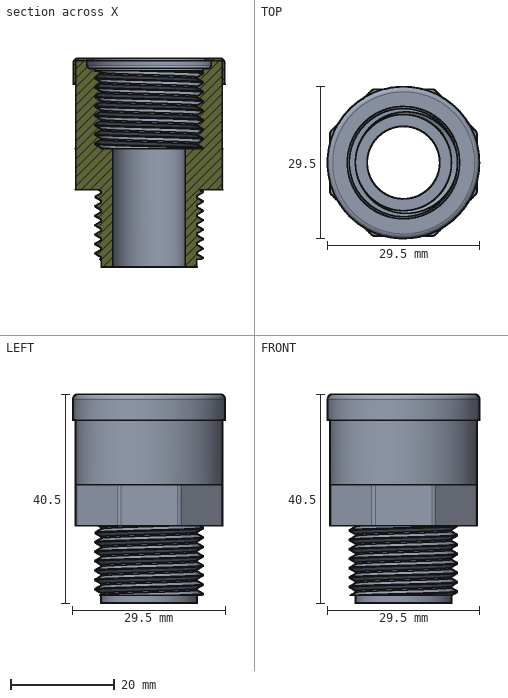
import cadquery as cq
import math

overall_height = 40.5
thread_start_level = 1.5
wrench_bottom_level = 15.0
wrench_top_level = 22.95
collar_bottom_level = 35.45
seat_level = 38.5
thread_mouth_level = 38.03
socket_floor_level = wrench_top_level

collar_diameter = 29.5
collar_rounding = 0.97
barrel_diameter = 28.5
lip_diameter = 21.8
seat_diameter = 24.0
seat_fillet = 0.6
clearance_diameter = 20.98
bore_diameter = 14.0
collar_thickness = (collar_diameter - barrel_diameter) / 2
barrel_top_level = overall_height - collar_thickness

wrench_sides = 8
wrench_corner_radius = 1.0

thread_minor_diameter = 18.65
thread_major_diameter = 20.95
thread_pitch = 1.82
thread_tip_width = 0.15
flank_angle = 30.0
thread_overlap = 0.12


def cylinder(diameter, bottom, top):
    """Upright cylinder on the Z axis between two levels."""
    return cq.Workplane("XY").workplane(offset=bottom).circle(diameter / 2).extrude(top - bottom)


def thread_ridge(bottom, top):
    """Right-handed ridge between two levels; its tip reaches the top level on the +X side."""
    inner_radius = thread_minor_diameter / 2 - thread_overlap
    outer_radius = thread_major_diameter / 2
    half_tip = thread_tip_width / 2
    half_base = half_tip + (outer_radius - inner_radius) * math.tan(math.radians(flank_angle))

    turns_below_top = math.ceil((top - bottom) / thread_pitch) + 1
    turns_above_top = 1
    first_level = top - turns_below_top * thread_pitch
    length = (turns_below_top + turns_above_top) * thread_pitch
    helix = cq.Wire.makeHelix(thread_pitch, length, inner_radius, cq.Vector(0, 0, first_level))
    ridge = (
        cq.Workplane("XZ")
        .moveTo(inner_radius, first_level - half_base)
        .lineTo(outer_radius, first_level - half_tip)
        .lineTo(outer_radius, first_level + half_tip)
        .lineTo(inner_radius, first_level + half_base)
        .close()
        .sweep(cq.Workplane(helix), isFrenet=True)
    )
    return ridge.intersect(cylinder(collar_diameter, bottom, top))


def make_outer_form():
    """Nose, wrench octagon and barrel, all still solid inside."""
    nose = cylinder(thread_minor_diameter, 0, wrench_bottom_level)
    corner_diameter = barrel_diameter / math.cos(math.pi / wrench_sides)
    wrench = (
        cq.Workplane("XY")
        .workplane(offset=wrench_bottom_level)
        .transformed(rotate=(0, 0, 180 / wrench_sides))
        .polygon(wrench_sides, corner_diameter)
        .extrude(wrench_top_level - wrench_bottom_level)
        .edges("|Z")
        .fillet(wrench_corner_radius)
    )
    barrel = cylinder(barrel_diameter, wrench_top_level, barrel_top_level)
    return nose.union(wrench).union(barrel)


def make_fitting():
    """Threaded adapter: male thread below, female socket above, bored right through."""
    seal_recess = cylinder(seat_diameter, seat_level, barrel_top_level)
    seal_recess = seal_recess.faces("<Z").edges().fillet(seat_fillet)
    clearance = cylinder(clearance_diameter, thread_mouth_level, seat_level)
    socket = cylinder(thread_minor_diameter, socket_floor_level, thread_mouth_level)
    bore = cylinder(bore_diameter, 0, socket_floor_level)
    male_thread = thread_ridge(thread_start_level, wrench_bottom_level)
    female_thread = thread_ridge(socket_floor_level, thread_mouth_level)
    return (
        make_outer_form()
        .union(male_thread)
        .cut(bore)
        .cut(socket)
        .cut(clearance)
        .cut(seal_recess)
        .cut(female_thread)
    )


def make_collar():
    """Cap ring around the barrel, with a lip that covers its top face."""
    return (
        cylinder(collar_diameter, collar_bottom_level, overall_height)
        .faces(">Z")
        .edges()
        .fillet(collar_rounding)
        .cut(cylinder(barrel_diameter, collar_bottom_level, barrel_top_level))
        .cut(cylinder(lip_diameter, barrel_top_level, overall_height))
    )


fitting = make_fitting()
collar = make_collar()
result = cq.Compound.makeCompound([fitting.val(), collar.val()])